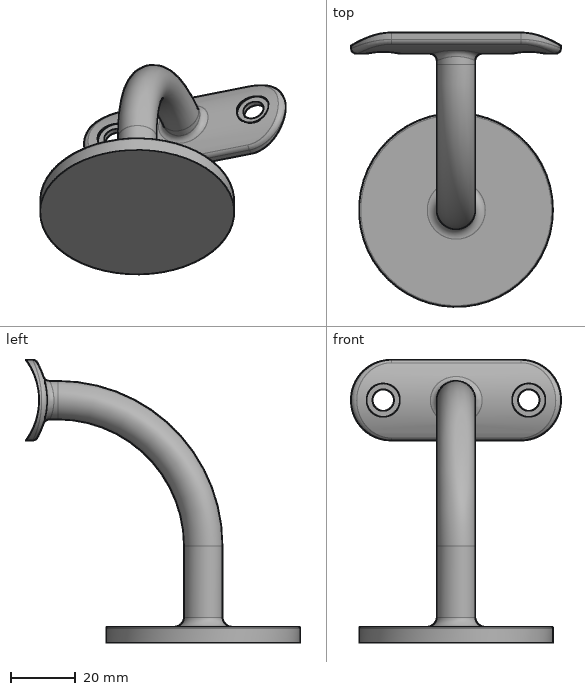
import cadquery as cq
import math

base_diameter = 60.0
base_thickness = 5.0
base_edge_radius = 0.5

rod_diameter = 12.0
bend_start_height = 30.0
bend_radius = 45.0
base_weld_radius = 3.0
saddle_weld_radius = 2.0

saddle_length = 65.0
saddle_height = 25.0
saddle_thickness = 2.5
rail_radius = 21.2
saddle_edge_radius = 1.75
saddle_tip_y = 54.9

hole_spacing = 45.0
hole_diameter = 6.6
counterbore_diameter = 10.3
counterbore_depth = 0.9

saddle_center_z = bend_start_height + bend_radius
rail_axis_y = saddle_tip_y + math.sqrt(rail_radius**2 - (saddle_height / 2) ** 2)
saddle_outer_radius = rail_radius + saddle_thickness
saddle_back_y = rail_axis_y - saddle_outer_radius


def cylinder_along_y(radius, start_y, end_y, x=0.0):
    """Cylinder along Y at the height of the saddle centre."""
    start = cq.Vector(x, start_y, saddle_center_z)
    return cq.Workplane(cq.Solid.makeCylinder(radius, end_y - start_y, start, cq.Vector(0, 1, 0)))


def rail_cylinder(radius):
    """Cylinder along X, centred on the handrail axis."""
    start = cq.Vector(-saddle_length, rail_axis_y, saddle_center_z)
    return cq.Workplane(cq.Solid.makeCylinder(radius, 2 * saddle_length, start, cq.Vector(1, 0, 0)))


def make_base():
    disc = cq.Workplane("XY").circle(base_diameter / 2).extrude(base_thickness)
    return disc.faces(">Z").edges().fillet(base_edge_radius)


def make_rod():
    """Straight riser, quarter bend and a short straight end reaching into the saddle."""
    end_y = saddle_back_y + saddle_thickness / 2
    path = (
        cq.Workplane("YZ")
        .moveTo(0, base_thickness / 2)
        .lineTo(0, bend_start_height)
        .radiusArc((bend_radius, saddle_center_z), bend_radius)
        .lineTo(end_y, saddle_center_z)
    )
    profile = cq.Workplane("XY", origin=(0, 0, base_thickness / 2)).circle(rod_diameter / 2)
    return profile.sweep(path)


def make_saddle():
    """Curved shell with a slot-shaped outline and a rounded edge on the rod side."""
    outline = (
        cq.Workplane("XZ", origin=(0, rail_axis_y, saddle_center_z))
        .slot2D(saddle_length, saddle_height)
        .extrude(saddle_outer_radius + saddle_thickness)
    )
    shell = outline.intersect(rail_cylinder(saddle_outer_radius)).cut(rail_cylinder(rail_radius))
    return shell.faces("<Y").edges().fillet(saddle_edge_radius)


def make_screw_hole(x):
    """Through hole with a flat-floored counterbore opening on the rod side of the saddle."""
    front_y = saddle_back_y - saddle_thickness
    hole = cylinder_along_y(hole_diameter / 2, front_y, rail_axis_y, x)
    counterbore = cylinder_along_y(counterbore_diameter / 2, front_y, saddle_back_y + counterbore_depth, x)
    return hole.union(counterbore)


def edges_around_rod(lower_corner, upper_corner):
    """Edges lying wholly inside a box, used to pick the seams at the rod ends."""
    return cq.selectors.BoxSelector(lower_corner, upper_corner, boundingbox=True)


seam_reach = 0.6 * rod_diameter
base_seam = edges_around_rod(
    (-seam_reach, -seam_reach, base_thickness / 2),
    (seam_reach, seam_reach, bend_start_height / 2),
)
saddle_seam = edges_around_rod(
    (-seam_reach, saddle_back_y - saddle_thickness / 2, saddle_center_z - seam_reach),
    (seam_reach, rail_axis_y, saddle_center_z + seam_reach),
)

bracket = make_base().union(make_rod()).union(make_saddle())

bracket = bracket.edges(base_seam).fillet(base_weld_radius)
bracket = bracket.edges(saddle_seam).fillet(saddle_weld_radius)

for side in (-1, 1):
    bracket = bracket.cut(make_screw_hole(side * hole_spacing / 2))

result = bracket